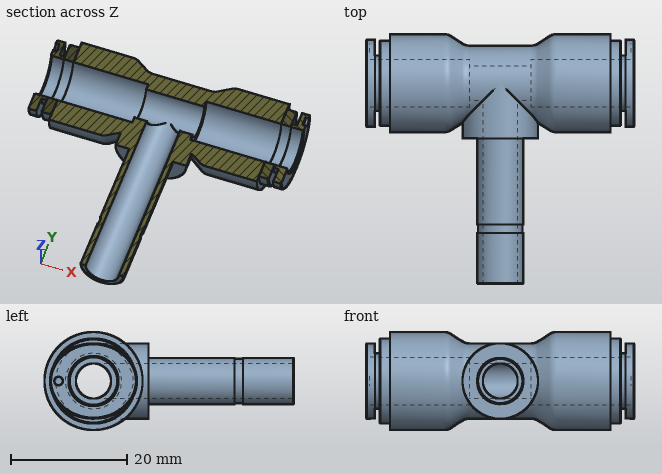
import cadquery as cq
import math


run_half_length = 23.1
button_flange_thickness = 1.52
button_neck_length = 0.85
ring_length = 1.75
ring_face = run_half_length - button_flange_thickness - button_neck_length
housing_face = ring_face - ring_length

housing_diameter = 16.9
waist_diameter = 13.0
shoulder_outer_corner = 9.0
shoulder_inner_corner = 5.95
shoulder_fillet = 2.0
branch_length = 9.45

stem_diameter = 8.0
stem_tip = 34.5
stem_tip_chamfer = 0.2
groove_diameter = 7.7
groove_start = 24.25
groove_width = 1.5

flow_bore = 6.0
socket_bore = 8.2
socket_floor = 5.3

ring_diameter = 14.7
flange_width = 14.95
flange_height = waist_diameter
neck_diameter = 9.6
edge_chamfer = 0.2
mouth_chamfer = 0.25
dimple_diameter = 1.5
dimple_depth = 0.6
dimple_offset = 6.0


def run_cylinder(diameter, start, end):
    """Cylinder on the run axis from x = start to x = end."""
    return cq.Workplane("YZ", origin=(start, 0, 0)).circle(diameter / 2).extrude(end - start)


def stem_cylinder(diameter, start, end):
    """Cylinder on the stem axis; distances run from the origin toward -Y."""
    return cq.Workplane("XZ", origin=(0, -start, 0)).circle(diameter / 2).extrude(end - start)


def half_run():
    """The +X half of the housing's outside: waist, rounded conical shoulder and socket cylinder."""
    outer_radius = housing_diameter / 2
    waist_radius = waist_diameter / 2
    rise = outer_radius - waist_radius
    run = shoulder_outer_corner - shoulder_inner_corner
    slope = math.atan2(rise, run)
    setback = shoulder_fillet * math.tan(slope / 2)
    setback_x = setback * math.cos(slope)
    setback_r = setback * math.sin(slope)
    mid_x = shoulder_fillet * math.sin(slope / 2)
    mid_r = shoulder_fillet * (1 - math.cos(slope / 2))
    hollow_start = shoulder_inner_corner - setback
    crown_end = shoulder_outer_corner + setback
    return (
        cq.Workplane("XY")
        .lineTo(0, waist_radius)
        .lineTo(hollow_start, waist_radius)
        .threePointArc(
            (hollow_start + mid_x, waist_radius + mid_r),
            (shoulder_inner_corner + setback_x, waist_radius + setback_r),
        )
        .lineTo(shoulder_outer_corner - setback_x, outer_radius - setback_r)
        .threePointArc((crown_end - mid_x, outer_radius - mid_r), (crown_end, outer_radius))
        .lineTo(housing_face, outer_radius)
        .lineTo(housing_face, 0)
        .close()
        .revolve(360, (0, 0, 0), (1, 0, 0))
    )


def make_stem():
    stem = stem_cylinder(stem_diameter, 0, stem_tip).faces("<Y").chamfer(stem_tip_chamfer)
    groove_end = groove_start + groove_width
    groove = stem_cylinder(stem_diameter, groove_start, groove_end).cut(
        stem_cylinder(groove_diameter, groove_start, groove_end)
    )
    return stem.cut(groove)


def make_housing():
    right_half = half_run()
    outside = right_half.union(right_half.mirror("YZ"))
    outside = outside.union(stem_cylinder(waist_diameter, 0, branch_length)).union(make_stem())
    return (
        outside.cut(run_cylinder(flow_bore, -housing_face, housing_face))
        .cut(stem_cylinder(flow_bore, 0, stem_tip))
        .cut(run_cylinder(socket_bore, socket_floor, housing_face))
        .cut(run_cylinder(socket_bore, -housing_face, -socket_floor))
    )


def make_collar_ring():
    """Collar ring on the +X housing face, with its outward rim chamfered."""
    ring = run_cylinder(ring_diameter, housing_face, ring_face).faces(">X").chamfer(edge_chamfer)
    return ring.cut(run_cylinder(socket_bore, housing_face, ring_face))


def make_release_button():
    """Release button on the +X collar ring: round neck, oval flange and a dimple in its face."""
    flange_back = run_half_length - button_flange_thickness
    flange = (
        cq.Workplane("YZ", origin=(flange_back, 0, 0))
        .ellipse(flange_width / 2, flange_height / 2)
        .extrude(button_flange_thickness)
        .faces(">X")
        .chamfer(edge_chamfer)
    )
    mouth = cq.Workplane(
        cq.Solid.makeCone(
            socket_bore / 2,
            socket_bore / 2 + mouth_chamfer,
            mouth_chamfer,
            cq.Vector(run_half_length - mouth_chamfer, 0, 0),
            cq.Vector(1, 0, 0),
        )
    )
    dimple = run_cylinder(dimple_diameter, run_half_length - dimple_depth, run_half_length)
    return (
        run_cylinder(neck_diameter, ring_face, flange_back)
        .union(flange)
        .cut(run_cylinder(socket_bore, ring_face, run_half_length))
        .cut(mouth)
        .cut(dimple.translate((0, dimple_offset, 0)))
    )


def at_both_ends(part):
    """A body at the +X end and its mirrored copy at the -X end."""
    return [end_part.solids().val() for end_part in (part, part.mirror("YZ"))]


housing = make_housing()
collar_rings = at_both_ends(make_collar_ring())
release_buttons = at_both_ends(make_release_button())

result = cq.Compound.makeCompound([housing.solids().val(), *collar_rings, *release_buttons])